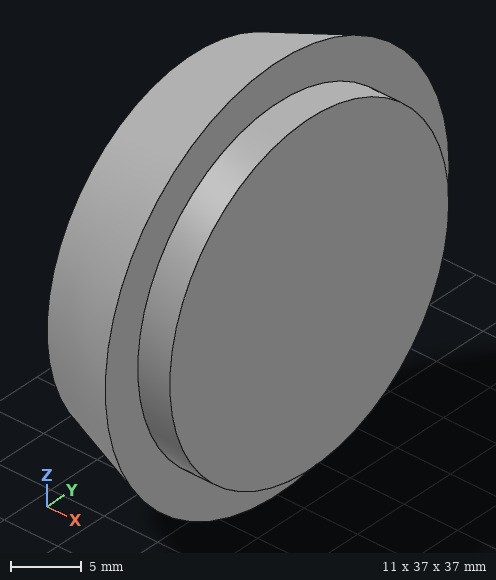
import cadquery as cq

rim_diameter = 37.0
face_diameter = 31.15
boss_diameter = 30.0
total_length = 11.0
cone_length = 8.0

rim_radius = rim_diameter / 2
face_radius = face_diameter / 2
boss_radius = boss_diameter / 2

profile = (
    cq.Workplane("XY")
    .moveTo(0, 0)
    .lineTo(0, face_radius)
    .lineTo(cone_length, rim_radius)
    .lineTo(cone_length, boss_radius)
    .lineTo(total_length, boss_radius)
    .lineTo(total_length, 0)
    .close()
)

result = profile.revolve(360, (0, 0, 0), (1, 0, 0))